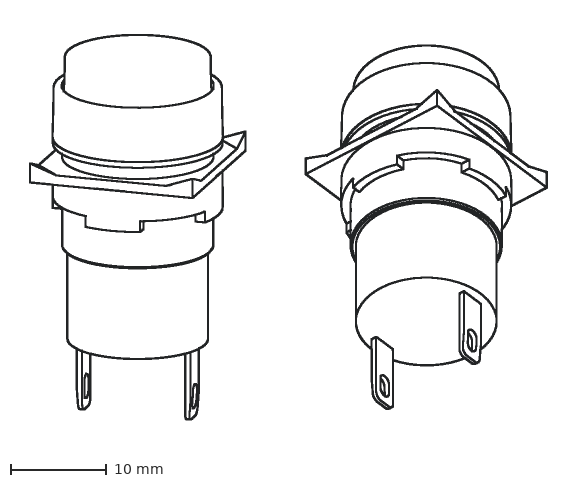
import cadquery as cq

TOTAL_HEIGHT = 39.0
COLLAR_TOP = 35.72
COLLAR_BELT = 30.05
COLLAR_BOTTOM = 29.45
PLATE_CORNER_TOP = 28.98
PLATE_TOP = 27.92
PLATE_BOTTOM = 26.87
TAB_TOP = 23.6
TAB_BOTTOM = 22.42
SLEEVE_BOTTOM = 18.1
BARREL_BOTTOM = 8.07

BUTTON_TOP_RADIUS = 7.65
BUTTON_BASE_RADIUS = 7.72
BUTTON_FILLET = 0.2
GROOVE_RADIUS = 7.95
GROOVE_DEPTH = 1.17
COLLAR_TOP_RADIUS = 8.8
COLLAR_BELT_RADIUS = 8.95
COLLAR_RIM_RADIUS = 8.9
COLLAR_FILLET = 0.25

PLATE_SIDE = 17.9
CORNER_RAMP_START = 6.0

SKIRT_RADIUS = 8.9
TAB_WIDTH = 6.0
SLEEVE_RADIUS = 7.9
SLEEVE_CHAMFER = 0.2
BARREL_RADIUS = 7.37

TERMINAL_INNER_X = 5.65
TERMINAL_THICKNESS = 0.62
TERMINAL_TIP_THICKNESS = 0.43
TERMINAL_TAPER_HEIGHT = 2.57
TERMINAL_WIDTH = 2.75
TERMINAL_CORNER_RADIUS = 0.75
SLOT_WIDTH = 1.35
SLOT_BOTTOM = 1.05
SLOT_TOP = 3.65


def cylinder(radius, bottom, top):
    """Upright cylinder on the central axis."""
    return cq.Workplane("XY").workplane(offset=bottom).circle(radius).extrude(top - bottom)


def cone(bottom_radius, top_radius, bottom, top):
    """Upright truncated cone on the central axis."""
    return cq.Workplane("XY").add(
        cq.Solid.makeCone(bottom_radius, top_radius, top - bottom, pnt=cq.Vector(0, 0, bottom))
    )


def make_collar():
    """Drafted collar on a straight rim, with a groove for the button."""
    wall = cone(COLLAR_BELT_RADIUS, COLLAR_TOP_RADIUS, COLLAR_BELT, COLLAR_TOP)
    wall = wall.faces(">Z").edges().fillet(COLLAR_FILLET)
    rim = cylinder(COLLAR_RIM_RADIUS, COLLAR_BOTTOM, COLLAR_BELT)
    groove = cylinder(GROOVE_RADIUS, COLLAR_TOP - GROOVE_DEPTH, COLLAR_TOP)
    return wall.union(rim).cut(groove)


def make_button():
    """Slightly drafted push button, rounded at its top edge."""
    button = cone(BUTTON_BASE_RADIUS, BUTTON_TOP_RADIUS, COLLAR_TOP - GROOVE_DEPTH, TOTAL_HEIGHT)
    return button.faces(">Z").edges().fillet(BUTTON_FILLET)


def make_corner_ramp():
    """Tetrahedron that rises from the plate top to its +X +Y corner."""
    half = PLATE_SIDE / 2
    corner = cq.Vector(half, half, PLATE_TOP)
    on_x_edge = cq.Vector(half, CORNER_RAMP_START, PLATE_TOP)
    on_y_edge = cq.Vector(CORNER_RAMP_START, half, PLATE_TOP)
    peak = cq.Vector(half, half, PLATE_CORNER_TOP)
    triangles = [
        (corner, on_x_edge, on_y_edge),
        (corner, on_x_edge, peak),
        (corner, on_y_edge, peak),
        (on_x_edge, on_y_edge, peak),
    ]
    faces = [cq.Face.makeFromWires(cq.Wire.makePolygon(points, close=True)) for points in triangles]
    return cq.Solid.makeSolid(cq.Shell.makeShell(faces))


def make_plate():
    """Square plate with a raised ramp at each corner."""
    plate = (
        cq.Workplane("XY")
        .workplane(offset=PLATE_BOTTOM)
        .rect(PLATE_SIDE, PLATE_SIDE)
        .extrude(PLATE_TOP - PLATE_BOTTOM)
    )
    ramp = make_corner_ramp()
    for quarter in range(4):
        plate = plate.union(cq.Workplane("XY").add(ramp.rotate((0, 0, 0), (0, 0, 1), 90 * quarter)))
    return plate


def make_skirt():
    """Skirt under the plate, ending in four tabs."""
    skirt = cylinder(SKIRT_RADIUS, TAB_TOP, PLATE_BOTTOM)
    tab_ring = cylinder(SKIRT_RADIUS, TAB_BOTTOM, TAB_TOP)
    for length_x, length_y in ((PLATE_SIDE, TAB_WIDTH), (TAB_WIDTH, PLATE_SIDE)):
        bar = (
            cq.Workplane("XY")
            .workplane(offset=TAB_BOTTOM)
            .rect(length_x, length_y)
            .extrude(TAB_TOP - TAB_BOTTOM)
        )
        skirt = skirt.union(bar.intersect(tab_ring))
    return skirt


def make_housing():
    """Complete housing, from the button down to the barrel."""
    sleeve = cylinder(SLEEVE_RADIUS, SLEEVE_BOTTOM, COLLAR_BOTTOM)
    sleeve = sleeve.faces("<Z").edges().chamfer(SLEEVE_CHAMFER)
    barrel = cylinder(BARREL_RADIUS, BARREL_BOTTOM, SLEEVE_BOTTOM)
    housing = sleeve.union(barrel)
    for section in (make_collar(), make_button(), make_plate(), make_skirt()):
        housing = housing.union(section)
    return housing


def make_terminal():
    """Slotted solder terminal on the +X side, thinned on its outer face towards the tip."""
    outer_x = TERMINAL_INNER_X + TERMINAL_THICKNESS
    profile = [
        (TERMINAL_INNER_X, 0),
        (TERMINAL_INNER_X + TERMINAL_TIP_THICKNESS, 0),
        (outer_x, TERMINAL_TAPER_HEIGHT),
        (outer_x, BARREL_BOTTOM),
        (TERMINAL_INNER_X, BARREL_BOTTOM),
    ]
    blade = cq.Workplane("XZ").polyline(profile).close().extrude(TERMINAL_WIDTH / 2, both=True)
    tip_corners = blade.faces("<Z").edges("|X")
    blade = tip_corners.fillet(TERMINAL_CORNER_RADIUS)
    slot = (
        cq.Workplane("YZ")
        .center(0, (SLOT_BOTTOM + SLOT_TOP) / 2)
        .slot2D(SLOT_TOP - SLOT_BOTTOM, SLOT_WIDTH, 90)
        .extrude(outer_x)
    )
    return blade.cut(slot)


housing = make_housing()
terminals = []
for angle in (0, 180):
    terminals.append(make_terminal().rotate((0, 0, 0), (0, 0, 1), angle).val())

result = cq.Compound.makeCompound([housing.val(), *terminals])